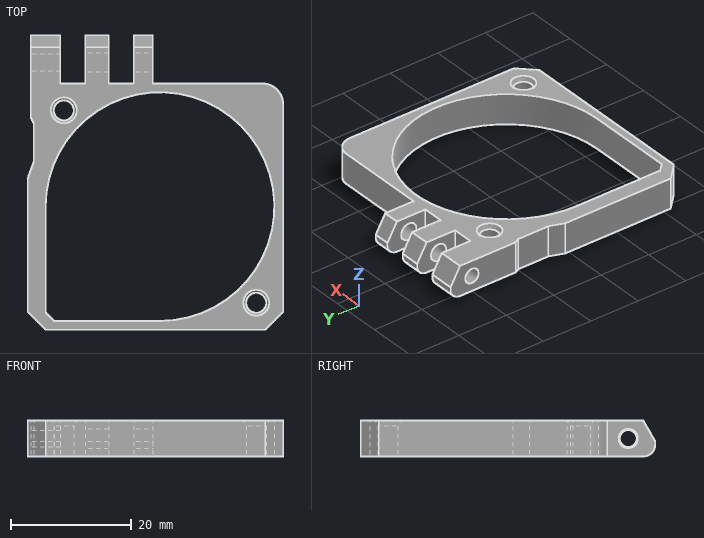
import cadquery as cq
import math

frame_width = 42.5
frame_depth = 41.0
thickness = 6.0
front_corner_chamfer = 3.0
back_corner_radius = 3.5

recess_inset = 1.0
hinge_side_inset = 0.5
recess_front_ramp = (25.25, 28.0)
recess_back_ramp = (34.3, 35.3)

opening_radius = 19.0
opening_front_wall = 1.5
opening_side_wall = 3.0
opening_corner_chamfer = 1.4
opening_x = opening_side_wall + opening_radius
opening_y = opening_front_wall + opening_radius

screw_spacing = 32.0
screw_diameter = 3.3
countersink_diameter = 4.3
countersink_angle = 60.0

knuckle_widths = (4.95, 3.95, 3.2)
knuckle_gap = 4.1
knuckle_tip = 49.0
knuckle_bevel_run = 2.0
knuckle_bevel_angle = 60.0
knuckle_bevel_drop = knuckle_bevel_run * math.tan(math.radians(knuckle_bevel_angle))
knuckle_lower_radius = 2.0
knuckle_root_overlap = 1.0
bore_diameters = (2.8, 3.2, 3.2)
pin_y = 44.5
pin_z = thickness / 2


def make_plate():
    """Frame outline with chamfered front corners and a stepped left side."""
    plate = (
        cq.Workplane("XY")
        .moveTo(front_corner_chamfer, 0)
        .lineTo(frame_width - front_corner_chamfer, 0)
        .lineTo(frame_width, front_corner_chamfer)
        .lineTo(frame_width, frame_depth)
        .lineTo(hinge_side_inset, frame_depth)
        .lineTo(hinge_side_inset, recess_back_ramp[1])
        .lineTo(recess_inset, recess_back_ramp[0])
        .lineTo(recess_inset, recess_front_ramp[1])
        .lineTo(0, recess_front_ramp[0])
        .lineTo(0, front_corner_chamfer)
        .close()
        .extrude(thickness)
    )
    return plate.edges("|Z and >X and >Y").fillet(back_corner_radius)


def make_opening():
    """Three-quarter circle whose front-left quarter is a chamfered square."""
    diagonal = opening_radius / math.sqrt(2)
    return (
        cq.Workplane("XY")
        .moveTo(opening_side_wall, opening_y)
        .threePointArc(
            (opening_x - diagonal, opening_y + diagonal),
            (opening_x, opening_y + opening_radius),
        )
        .threePointArc(
            (opening_x + diagonal, opening_y + diagonal),
            (opening_x + opening_radius, opening_y),
        )
        .threePointArc(
            (opening_x + diagonal, opening_y - diagonal),
            (opening_x, opening_front_wall),
        )
        .lineTo(opening_side_wall + opening_corner_chamfer, opening_front_wall)
        .lineTo(opening_side_wall, opening_front_wall + opening_corner_chamfer)
        .close()
        .extrude(thickness)
    )


def make_knuckle(left, width):
    """Hinge knuckle with a bevelled top and a rounded lower tip."""
    root = frame_depth - knuckle_root_overlap
    return (
        cq.Workplane("YZ", origin=(left, 0, 0))
        .moveTo(root, 0)
        .lineTo(knuckle_tip - knuckle_lower_radius, 0)
        .radiusArc((knuckle_tip, knuckle_lower_radius), -knuckle_lower_radius)
        .lineTo(knuckle_tip, thickness - knuckle_bevel_drop)
        .lineTo(knuckle_tip - knuckle_bevel_run, thickness)
        .lineTo(root, thickness)
        .close()
        .extrude(width)
    )


def make_bore(left, width, diameter):
    """Hinge pin bore along X through one knuckle."""
    return (
        cq.Workplane("YZ", origin=(left, pin_y, pin_z))
        .circle(diameter / 2)
        .extrude(width)
    )


def cut_screw_holes(body):
    """Countersunk through holes at the back-left and front-right corners."""
    half = screw_spacing / 2
    return (
        body.faces(">Z")
        .workplane(origin=(opening_x, opening_y, thickness))
        .pushPoints([(-half, half), (half, -half)])
        .cskHole(screw_diameter, countersink_diameter, countersink_angle)
    )


frame = make_plate().cut(make_opening())
knuckle_left = hinge_side_inset
for knuckle_width, bore_diameter in zip(knuckle_widths, bore_diameters):
    frame = frame.union(make_knuckle(knuckle_left, knuckle_width))
    frame = frame.cut(make_bore(knuckle_left, knuckle_width, bore_diameter))
    knuckle_left += knuckle_width + knuckle_gap
result = cut_screw_holes(frame)